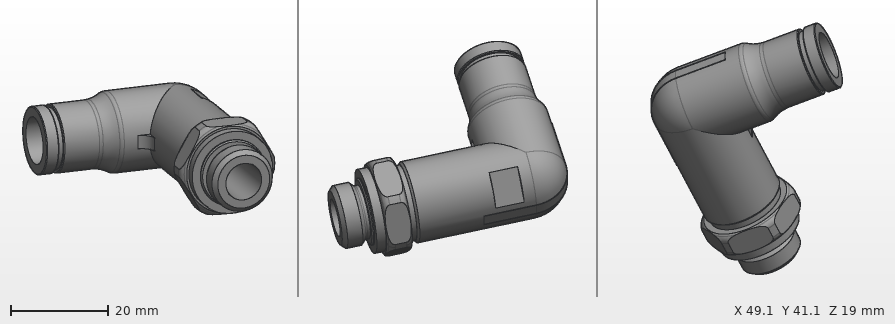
import cadquery as cq
import math


overall_length = 49.05

body_radius = 8.55
body_length = 25.25
body_end_chamfer = 0.5
port_radius = 3.9

web_width = 2.85
web_fillet = 2.6
web_reach = body_radius + web_fillet

flat_start = 2.5
flat_length = 6.05
flat_width = 7.5
flat_tilt = 45
flat_distance = math.sqrt(body_radius**2 - (flat_width / 2)**2)

thread_end = overall_length - body_radius
neck_radius = 7.95
hex_start = 26.6
hex_end = 32.05
hex_across_flats = 19.0
hex_corner_radius = 10.5
hex_face_radius = 9.3
hex_bevel_angle = 30
hex_rounding = 1.45
flange_radius = 8.85
flange_end = 34.0
step_radius = 7.05
step_end = 34.55
step_chamfer = 0.3
relief_radius = 5.65
relief_end = 35.15
relief_fillet = 0.55
thread_radius = 6.6
thread_chamfer = 0.95

tube_end = -30.6
shoulder_start = -14.15
shoulder_break = -15.0
shoulder_break_radius = 8.3
flare_end = -18.25
flare_end_radius = 7.2
sleeve_start = -19.05
sleeve_radius = 7.15
sleeve_end = -26.85
groove_end = -27.85
groove_radius = 6.5
collar_radius = 7.1
edge_chamfer = 0.2
socket_radius = 4.95

x_axis = ((0, 0, 0), (1, 0, 0))
y_axis = ((0, 0, 0), (0, 1, 0))


def cylinder_x(radius, start, end):
    return cq.Workplane("YZ", origin=(start, 0, 0)).circle(radius).extrude(end - start)


def cylinder_y(radius, start, end):
    return cq.Workplane("XZ", origin=(0, start, 0)).circle(radius).extrude(start - end)


def x_arm_body():
    x_arm = cylinder_x(body_radius, 0, body_length).faces(">X").chamfer(body_end_chamfer)
    corner = cq.Workplane("XY").sphere(body_radius)
    return x_arm.union(corner)


def elbow_web():
    corner = body_radius * math.sqrt(0.5)
    hollow = web_reach - web_fillet * math.sqrt(0.5)
    return (
        cq.Workplane("XY", origin=(0, 0, -web_width / 2))
        .moveTo(0, body_radius)
        .lineTo(web_reach, body_radius)
        .lineTo(web_reach, -body_radius)
        .threePointArc((hollow, -hollow), (body_radius, -web_reach))
        .lineTo(-body_radius, -web_reach)
        .lineTo(-body_radius, 0)
        .threePointArc((-corner, corner), (0, body_radius))
        .close()
        .extrude(web_width)
    )


def flat_cutter():
    return (
        cq.Workplane("XY")
        .box(flat_length, flat_width, body_radius, centered=(False, True, False))
        .translate((flat_start, 0, flat_distance))
        .rotate(*x_axis, -flat_tilt)
    )


def hexagon():
    corner_diameter = hex_across_flats / math.cos(math.pi / 6)
    prism = (
        cq.Workplane("YZ", origin=(hex_start, 0, 0))
        .polygon(6, corner_diameter)
        .extrude(hex_end - hex_start)
    )
    bevel_length = (hex_corner_radius - hex_face_radius) * math.tan(math.radians(hex_bevel_angle))
    turned = (
        cq.Workplane("XY")
        .moveTo(hex_start, 0)
        .lineTo(hex_start, hex_face_radius)
        .lineTo(hex_start + bevel_length, hex_corner_radius)
        .lineTo(hex_end - bevel_length, hex_corner_radius)
        .lineTo(hex_end, hex_face_radius)
        .lineTo(hex_end, 0)
        .close()
        .revolve(360, *x_axis)
        .edges(cq.selectors.RadiusNthSelector(-1))
        .fillet(hex_rounding)
    )
    return prism.intersect(turned)


def threaded_arm():
    half_sweep = math.pi / 8
    fillet_middle = (
        relief_end + relief_fillet * math.sin(half_sweep),
        relief_radius + relief_fillet * (1 - math.cos(half_sweep)),
    )
    fillet_end = (
        relief_end + relief_fillet * math.sin(2 * half_sweep),
        relief_radius + relief_fillet * (1 - math.cos(2 * half_sweep)),
    )
    thread_start = fillet_end[0] + thread_radius - fillet_end[1]
    return (
        cq.Workplane("XY")
        .moveTo(hex_end, 0)
        .lineTo(hex_end, flange_radius)
        .lineTo(flange_end, flange_radius)
        .lineTo(flange_end, step_radius)
        .lineTo(step_end - step_chamfer, step_radius)
        .lineTo(step_end, step_radius - step_chamfer)
        .lineTo(step_end, relief_radius)
        .lineTo(relief_end, relief_radius)
        .threePointArc(fillet_middle, fillet_end)
        .lineTo(thread_start, thread_radius)
        .lineTo(thread_end - thread_chamfer, thread_radius)
        .lineTo(thread_end, thread_radius - thread_chamfer)
        .lineTo(thread_end, 0)
        .close()
        .revolve(360, *x_axis)
    )


def tube_arm():
    return (
        cq.Workplane("XY")
        .moveTo(0, 0)
        .lineTo(body_radius, 0)
        .lineTo(body_radius, shoulder_start)
        .tangentArcPoint((shoulder_break_radius, shoulder_break), relative=False)
        .tangentArcPoint((flare_end_radius, flare_end), relative=False)
        .tangentArcPoint((sleeve_radius, sleeve_start), relative=False)
        .lineTo(sleeve_radius, sleeve_end + edge_chamfer)
        .lineTo(sleeve_radius - edge_chamfer, sleeve_end)
        .lineTo(groove_radius, sleeve_end)
        .lineTo(groove_radius, groove_end)
        .lineTo(collar_radius - edge_chamfer, groove_end)
        .lineTo(collar_radius, groove_end - edge_chamfer)
        .lineTo(collar_radius, tube_end + edge_chamfer)
        .lineTo(collar_radius - edge_chamfer, tube_end)
        .lineTo(0, tube_end)
        .close()
        .revolve(360, *y_axis)
    )


def passages():
    x_port = cylinder_x(port_radius, 0, thread_end)
    y_port = cylinder_y(port_radius, 0, tube_end)
    turn = cq.Workplane("XY").sphere(port_radius)
    socket = cylinder_y(socket_radius, sleeve_start, tube_end)
    return x_port.union(y_port).union(turn).union(socket)


result = (
    x_arm_body()
    .union(tube_arm())
    .union(elbow_web())
    .cut(flat_cutter())
    .union(cylinder_x(neck_radius, body_length, hex_start))
    .union(hexagon())
    .union(threaded_arm())
    .cut(passages())
)